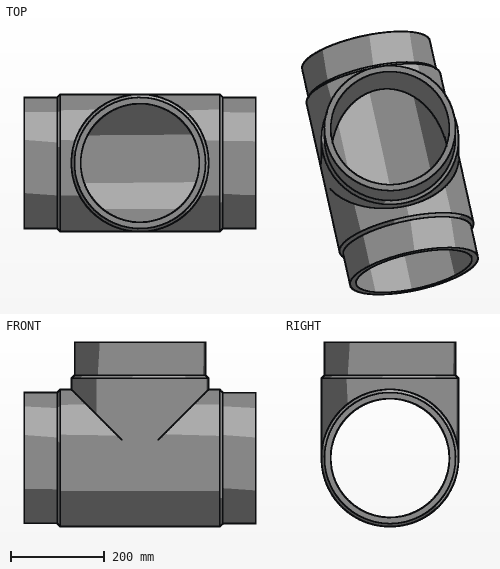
import cadquery as cq

reach = 247.5
bore_diameter = 253.5
spigot_diameter = 280.0
body_diameter = 293.5
spigot_length = 70.5

bore_radius = bore_diameter / 2
spigot_radius = spigot_diameter / 2
body_radius = body_diameter / 2
bevel = body_radius - spigot_radius
shoulder = reach - spigot_length


def outer_arm():
    """Solid arm from the origin up +Z: body, bevel and spigot."""
    return (
        cq.Workplane("XZ")
        .moveTo(0, 0)
        .lineTo(body_radius, 0)
        .lineTo(body_radius, shoulder - bevel)
        .lineTo(spigot_radius, shoulder)
        .lineTo(spigot_radius, reach)
        .lineTo(0, reach)
        .close()
        .revolve(360, (0, 0, 0), (0, 1, 0))
    )


def turn_to_x(arm, angle):
    """Swing an upright arm about Y onto the run axis."""
    return arm.rotate((0, 0, 0), (0, 1, 0), angle)


run = turn_to_x(outer_arm(), 90).union(turn_to_x(outer_arm(), -90))
outside = run.union(outer_arm())

run_bore = cq.Workplane("YZ").circle(bore_radius).extrude(reach, both=True)
branch_bore = cq.Workplane("XY").circle(bore_radius).extrude(reach)

result = outside.cut(run_bore).cut(branch_bore)